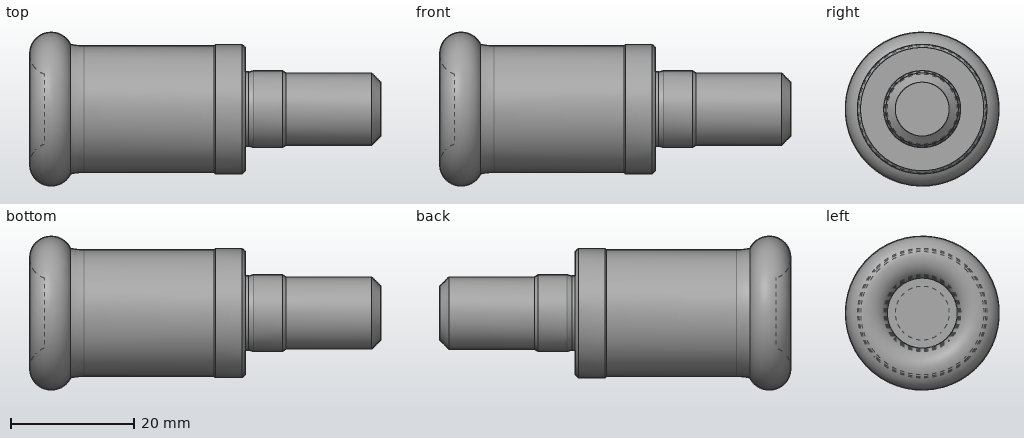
import cadquery as cq
import math


handle_length = 35.0
lip_radius = 25.0 / 2
lip_tube_radius = 3.5
dish_floor_x = -32.6

grip_radius = 20.6 / 2
flare_start_x = -26.2
flare_end_x = -28.35

collar_radius = 21.0 / 2
collar_back_x = -4.87
collar_chamfer = 0.5

neck_radius = 6.1
neck_length = 0.5
pilot_root_radius = 6.0
pilot_radius = 12.5 / 2
pilot_start_x = 1.3
pilot_end_x = 6.0
shank_radius = 11.75 / 2
shank_start_x = 6.6
stud_length = 22.0
tip_chamfer = 1.5

lip_x = lip_tube_radius - handle_length
lip_r = lip_radius - lip_tube_radius
flare_end_radius = lip_r + math.sqrt(lip_tube_radius**2 - (flare_end_x - lip_x) ** 2)
dish_radius = lip_r - math.sqrt(lip_tube_radius**2 - (dish_floor_x - lip_x) ** 2)


def revolve_about_x(profile):
    """Turn a closed (x, radius) profile into a solid around the X axis."""
    return profile.close().revolve(360, (0, 0, 0), (1, 0, 0))


def make_lip():
    """Rolled lip with a flat dish floor, seated on the flared end of the handle."""
    profile = (
        cq.Workplane("XY")
        .moveTo(dish_floor_x, 0)
        .lineTo(flare_end_x, 0)
        .lineTo(flare_end_x, flare_end_radius)
        .threePointArc((-handle_length, lip_r), (dish_floor_x, dish_radius))
    )
    return revolve_about_x(profile)


def make_handle():
    """Flared grip, collar, neck, tapered pilot and chamfered shank in one piece."""
    collar_rise = collar_radius - grip_radius
    profile = (
        cq.Workplane("XY")
        .moveTo(collar_back_x, collar_radius)
        .lineTo(collar_back_x - collar_rise, grip_radius)
        .lineTo(flare_start_x, grip_radius)
        .tangentArcPoint((flare_end_x, flare_end_radius), relative=False)
        .lineTo(flare_end_x, 0)
        .lineTo(stud_length, 0)
        .lineTo(stud_length, shank_radius - tip_chamfer)
        .lineTo(stud_length - tip_chamfer, shank_radius)
        .lineTo(shank_start_x, shank_radius)
        .lineTo(pilot_end_x, pilot_radius)
        .lineTo(pilot_start_x, pilot_radius)
        .lineTo(neck_length, pilot_root_radius)
        .lineTo(neck_length, neck_radius)
        .lineTo(0, neck_radius)
        .lineTo(0, collar_radius - collar_chamfer)
        .lineTo(-collar_chamfer, collar_radius)
    )
    return revolve_about_x(profile)


lip = make_lip()
handle = make_handle()

result = cq.Compound.makeCompound([lip.val(), handle.val()])